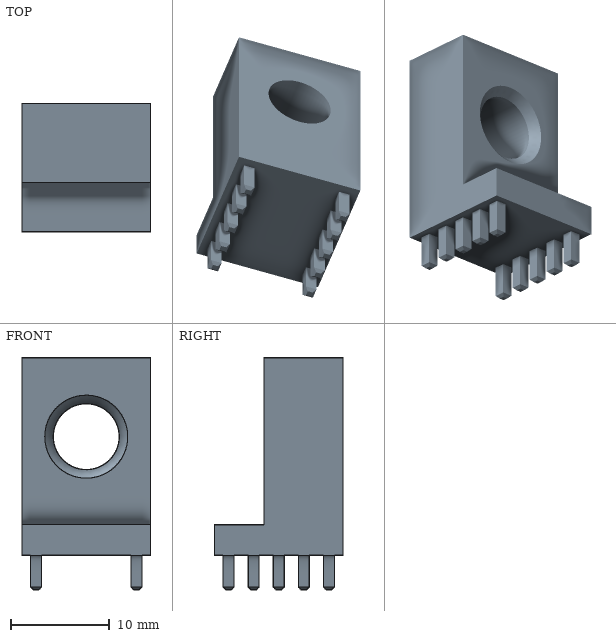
import cadquery as cq

body_width = 13.0
body_depth = 13.0
body_height = 20.0
block_depth = 8.0
foot_height = 3.1

hole_diameter = 6.65
countersink_diameter = 8.4
countersink_angle = 90.0
hole_height = 12.0

pin_pitch = 2.54
pins_per_row = 5
pin_width = 1.13
pin_length = 3.5
pin_tip_chamfer = 0.3
row_spacing = 4 * pin_pitch

front_y = -body_depth / 2
back_y = body_depth / 2
block_front_y = back_y - block_depth
first_pin_y = -(pins_per_row - 1) / 2 * pin_pitch


def make_body():
    """L-shaped profile in the YZ plane, extruded across the width."""
    profile = [
        (front_y, 0),
        (back_y, 0),
        (back_y, body_height),
        (block_front_y, body_height),
        (block_front_y, foot_height),
        (front_y, foot_height),
    ]
    return cq.Workplane("YZ").polyline(profile).close().extrude(body_width / 2, both=True)


def cut_hole(body):
    """Countersunk hole through the block, along Y."""
    block_front = cq.Workplane("XZ", origin=(0, block_front_y, hole_height))
    return body.copyWorkplane(block_front).cskHole(hole_diameter, countersink_diameter, countersink_angle)


def make_pin():
    """Square pin hanging from Z = 0, with a chamfered tip."""
    pin = cq.Workplane("XY").rect(pin_width, pin_width).extrude(-pin_length)
    return pin.faces("<Z").chamfer(pin_tip_chamfer)


def add_pins(body):
    """A row of evenly spaced pins along Y near each side of the body."""
    pin = make_pin()
    for row_x in (-row_spacing / 2, row_spacing / 2):
        for index in range(pins_per_row):
            pin_y = first_pin_y + index * pin_pitch
            body = body.union(pin.translate((row_x, pin_y, 0)))
    return body


result = add_pins(cut_hole(make_body()))